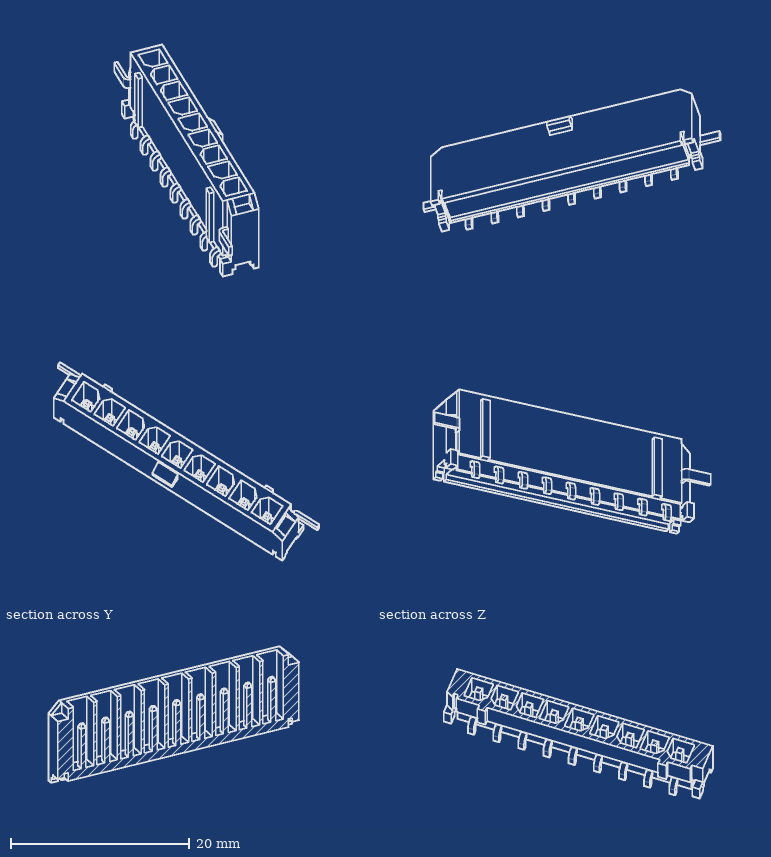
import cadquery as cq


OVERALL_LENGTH = 34.63
SHROUD_LENGTH = 27.9
SHROUD_DEPTH = 3.85
SHROUD_HEIGHT = 9.87
BACK_Y = SHROUD_DEPTH
HALF_SHROUD = SHROUD_LENGTH / 2

RELIEF_DEPTH = 0.35
RELIEF_HEIGHT = 1.87

HEADER_LENGTH = 30.55
HALF_HEADER = HEADER_LENGTH / 2
EAR_WIDTH = HALF_HEADER - HALF_SHROUD
EAR_FRONT_Y = 0.52
EAR_CHAMFER = EAR_WIDTH
EAR_WEB = 0.65
FOOT_FRONT_Y = -0.52
FOOT_HEIGHT = RELIEF_HEIGHT
SLOT_HEIGHT = 1.65

CHANNEL_FRONT_Y = 0.65
CHANNEL_BACK_Y = 3.22
CHANNEL_HEIGHT = 0.62
WINDOW_FRONT_Y = 1.05
WINDOW_BACK_Y = 2.85
WINDOW_HEIGHT = 1.18

RIB_SPACING = 21.55
RIB_WIDTH = 0.97
RIB_PROJECTION = 0.52
RIB_TOP_Z = 9.05

LATCH_WIDTH = 2.63
LATCH_REACH = 1.2
LATCH_TOP_Z = 9.28
LATCH_NOSE_TOP_Z = 8.1
LATCH_NOSE_BOTTOM_Z = 7.38
LATCH_HEEL_REACH = 0.38
LATCH_HEEL_HEIGHT = 0.25

KEY_SIDES = [1, -1, -1, 1, 1, 1, -1, 1, -1]
CONTACT_SPAN = 24.0
PITCH = CONTACT_SPAN / (len(KEY_SIDES) - 1)
CAVITY_SIZE = 2.53
CAVITY_FRONT_Y = 0.7
CAVITY_CENTER_Y = CAVITY_FRONT_Y + CAVITY_SIZE / 2
CAVITY_FLOOR_Z = RELIEF_HEIGHT
KEY_CUT = 0.7

PIN_WIDTH = 0.7
PIN_TOP_Z = 7.27
PIN_TIP_WIDTH = 0.35
PIN_TIP_LENGTH = 0.4
TAIL_FRONT_Y = -0.62
TAIL_THICKNESS = 0.62
TAIL_TOP_Z = 1.28
TAIL_BOTTOM_Z = -0.85
TAIL_ROUND = 0.28
TAIL_BEND = 0.9

CLIP_THICKNESS = 0.4
CLIP_BOTTOM_Z = 4.68
CLIP_TOP_Z = 5.95
CLIP_FRONT_Y = -0.62
CLIP_BEND = 0.6
EAR_PLATE_WIDTH = EAR_WIDTH - CLIP_THICKNESS

WEDGE_DEPTH = EAR_FRONT_Y
WEDGE_TOP_Z = 6.58


def box(x_range, y_range, z_range):
    """Box between the given limits on each axis."""
    (x0, x1), (y0, y1), (z0, z1) = x_range, y_range, z_range
    return cq.Workplane("XY").box(x1 - x0, y1 - y0, z1 - z0, centered=False).translate((x0, y0, z0))


def centered_range(center, width):
    return (center - width / 2, center + width / 2)


def mirrored(part):
    """The same part at the other end of the header."""
    return part.mirror("YZ")


def make_shroud():
    shroud = box((-HALF_SHROUD, HALF_SHROUD), (0, BACK_Y), (0, SHROUD_HEIGHT))
    relief = box((-HALF_SHROUD, HALF_SHROUD), (0, RELIEF_DEPTH), (0, RELIEF_HEIGHT))
    return shroud.cut(relief)


def make_right_ear():
    """End plate with a chamfered, hollowed top, a front foot and a slot beside the shroud."""
    chamfer_z = SHROUD_HEIGHT - EAR_CHAMFER
    ear = (
        cq.Workplane("XZ", origin=(0, BACK_Y, 0))
        .moveTo(HALF_SHROUD, 0)
        .lineTo(HALF_HEADER, 0)
        .lineTo(HALF_HEADER, chamfer_z)
        .lineTo(HALF_SHROUD, SHROUD_HEIGHT)
        .close()
        .extrude(BACK_Y - EAR_FRONT_Y)
    )
    plate_x = HALF_HEADER - EAR_PLATE_WIDTH
    foot = box((plate_x, HALF_HEADER), (FOOT_FRONT_Y, EAR_FRONT_Y), (0, FOOT_HEIGHT))
    ear_x = (HALF_SHROUD, HALF_HEADER)
    top_pocket = box(ear_x, (EAR_FRONT_Y + EAR_WEB, BACK_Y - EAR_WEB), (chamfer_z, SHROUD_HEIGHT))
    slot = box((HALF_SHROUD, plate_x), (EAR_FRONT_Y, BACK_Y), (0, SLOT_HEIGHT))
    window = box(ear_x, (WINDOW_FRONT_Y, WINDOW_BACK_Y), (0, WINDOW_HEIGHT))
    return ear.union(foot).cut(top_pocket).cut(slot).cut(window)


def make_channel():
    return box((-HALF_HEADER, HALF_HEADER), (CHANNEL_FRONT_Y, CHANNEL_BACK_Y), (0, CHANNEL_HEIGHT))


def make_rib(center_x):
    return box(centered_range(center_x, RIB_WIDTH), (-RIB_PROJECTION, 0), (RELIEF_HEIGHT, RIB_TOP_Z))


def make_latch():
    nose_y = BACK_Y + LATCH_REACH
    return (
        cq.Workplane("YZ", origin=(-LATCH_WIDTH / 2, 0, 0))
        .moveTo(BACK_Y, LATCH_TOP_Z)
        .lineTo(nose_y, LATCH_NOSE_TOP_Z)
        .lineTo(nose_y, LATCH_NOSE_BOTTOM_Z)
        .lineTo(BACK_Y + LATCH_HEEL_REACH, LATCH_NOSE_BOTTOM_Z)
        .lineTo(BACK_Y, LATCH_NOSE_BOTTOM_Z - LATCH_HEEL_HEIGHT)
        .close()
        .extrude(LATCH_WIDTH)
    )


def make_cavity(center_x, key_side):
    """Square socket with one front corner cut off."""
    key_edge = "|Z and <Y and >X" if key_side > 0 else "|Z and <Y and <X"
    cavity = box(
        centered_range(center_x, CAVITY_SIZE),
        centered_range(CAVITY_CENTER_Y, CAVITY_SIZE),
        (CAVITY_FLOOR_Z, SHROUD_HEIGHT),
    )
    return cavity.edges(key_edge).chamfer(KEY_CUT)


def make_pin(center_x):
    """Square post with a tapered tip, standing on the cavity floor."""
    shoulder_z = PIN_TOP_Z - PIN_TIP_LENGTH
    post = box(
        centered_range(center_x, PIN_WIDTH),
        centered_range(CAVITY_CENTER_Y, PIN_WIDTH),
        (CAVITY_FLOOR_Z, shoulder_z),
    )
    tip = (
        cq.Workplane("XY", origin=(center_x, CAVITY_CENTER_Y, shoulder_z))
        .rect(PIN_WIDTH, PIN_WIDTH)
        .workplane(offset=PIN_TIP_LENGTH)
        .rect(PIN_TIP_WIDTH, PIN_TIP_WIDTH)
        .loft()
    )
    return post.union(tip)


def make_tail(center_x):
    """Tail that leaves the relief face and bends down past the bottom of the shroud."""
    bend_y = TAIL_FRONT_Y + TAIL_BEND
    bend_z = TAIL_TOP_Z - TAIL_BEND
    inner_bend = TAIL_BEND - TAIL_THICKNESS
    tail = (
        cq.Workplane("YZ", origin=(center_x - PIN_WIDTH / 2, 0, 0))
        .moveTo(RELIEF_DEPTH, TAIL_TOP_Z)
        .lineTo(bend_y, TAIL_TOP_Z)
        .radiusArc((TAIL_FRONT_Y, bend_z), -TAIL_BEND)
        .lineTo(TAIL_FRONT_Y, TAIL_BOTTOM_Z)
        .lineTo(TAIL_FRONT_Y + TAIL_THICKNESS, TAIL_BOTTOM_Z)
        .lineTo(TAIL_FRONT_Y + TAIL_THICKNESS, bend_z)
        .radiusArc((bend_y, bend_z + inner_bend), inner_bend)
        .lineTo(RELIEF_DEPTH, bend_z + inner_bend)
        .close()
        .extrude(PIN_WIDTH)
    )
    return tail.edges("|X and <Z").fillet(TAIL_ROUND)


def make_right_clip():
    """L-shaped strip that leaves the ear front along the shroud end and bends outwards."""
    tip_x = OVERALL_LENGTH / 2
    leg_x = HALF_SHROUD + CLIP_THICKNESS
    bend_x = HALF_SHROUD + CLIP_BEND
    bend_y = CLIP_FRONT_Y + CLIP_BEND
    inner_bend = CLIP_BEND - CLIP_THICKNESS
    return (
        cq.Workplane("XY", origin=(0, 0, CLIP_BOTTOM_Z))
        .moveTo(HALF_SHROUD, EAR_FRONT_Y)
        .lineTo(HALF_SHROUD, bend_y)
        .radiusArc((bend_x, CLIP_FRONT_Y), -CLIP_BEND)
        .lineTo(tip_x, CLIP_FRONT_Y)
        .lineTo(tip_x, CLIP_FRONT_Y + CLIP_THICKNESS)
        .lineTo(bend_x, CLIP_FRONT_Y + CLIP_THICKNESS)
        .radiusArc((leg_x, bend_y), inner_bend)
        .lineTo(leg_x, EAR_FRONT_Y)
        .close()
        .extrude(CLIP_TOP_Z - CLIP_BOTTOM_Z)
    )


def make_wedge():
    """Sloped filler on the front of the left ear, thickest beside the clip."""
    inner_x = -HALF_HEADER + EAR_PLATE_WIDTH
    return (
        cq.Workplane("XY", origin=(0, 0, FOOT_HEIGHT))
        .moveTo(-HALF_HEADER, EAR_FRONT_Y)
        .lineTo(inner_x, EAR_FRONT_Y)
        .lineTo(inner_x, EAR_FRONT_Y - WEDGE_DEPTH)
        .close()
        .extrude(WEDGE_TOP_Z - FOOT_HEIGHT)
    )


def make_housing():
    """Shroud with its ears, ribs, latch and contacts, and the right clip moulded in."""
    right_ear = make_right_ear()
    housing = make_shroud().union(right_ear).union(mirrored(right_ear)).cut(make_channel())
    for rib_x in centered_range(0, RIB_SPACING):
        housing = housing.union(make_rib(rib_x))
    housing = housing.union(make_latch()).union(make_wedge()).union(make_right_clip())
    first_x = -CONTACT_SPAN / 2
    for index, key_side in enumerate(KEY_SIDES):
        contact_x = first_x + index * PITCH
        housing = housing.cut(make_cavity(contact_x, key_side))
        housing = housing.union(make_pin(contact_x)).union(make_tail(contact_x))
    return housing


housing = make_housing()
left_clip = mirrored(make_right_clip())

result = cq.Compound.makeCompound([housing.val(), left_clip.val()])